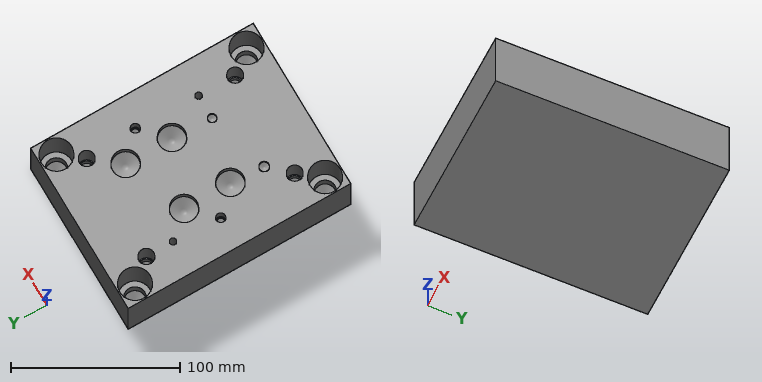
import cadquery as cq
import math

LENGTH_X = 114.3
LENGTH_Y = 152.4
HEIGHT = 44.45
TOP_Z = HEIGHT / 2

DRILL_POINT_ANGLE = 120.0

MOUNT_X = 46.02
MOUNT_Y = 65.07
MOUNT_BORE_DIAMETER = 20.62
MOUNT_BORE_DEPTH = 30.0
MOUNT_TAIL_DIAMETER = 13.49
MOUNT_TAIL_DEPTH = 38.0

BOLT_X = 34.93
BOLT_Y = 50.8
BOLT_THREAD_DIAMETER = 10.01
BOLT_THREAD_DEPTH = 20.0
BOLT_DRILL_DIAMETER = 8.51
BOLT_DRILL_DEPTH = 25.0

PORT_COLUMN_X = 20.64
PORT_PITCH = 31.75
PORT_RIGHT_Y = 0.79
PORT_LEFT_Y = PORT_RIGHT_Y - PORT_PITCH / 2
PORT_DIAMETER = 17.48
PORT_DEPTH = 5.08

SCREW_X = 36.51
SCREW_THREAD_DIAMETER = 5.99
SCREW_THREAD_DEPTH = 8.0
SCREW_DRILL_DIAMETER = 5.0
SCREW_DRILL_DEPTH = 10.0

PILOT_X = 34.93
PILOT_LEFT_Y = PORT_RIGHT_Y + PORT_PITCH
PILOT_RIGHT_Y = -25.8
PILOT_DIAMETER = 4.37
PILOT_DEPTH = 15.0

DRAIN_RIGHT = (19.05, PILOT_RIGHT_Y)
DRAIN_RIGHT_DIAMETER = 5.54
DRAIN_LEFT = (-22.23, -37.3)
DRAIN_LEFT_DIAMETER = 6.35
DRAIN_DEPTH = 1.8


def drilled_hole(center, diameter, depth):
    """Cutter for a blind hole from the top face: full diameter to depth, then a drill point."""
    x, y = center
    radius = diameter / 2
    point_length = radius / math.tan(math.radians(DRILL_POINT_ANGLE / 2))
    profile = (
        cq.Workplane("XZ")
        .moveTo(0, 0)
        .lineTo(radius, 0)
        .lineTo(radius, -depth)
        .lineTo(0, -depth - point_length)
        .close()
    )
    return profile.revolve(360, (0, 0, 0), (0, 1, 0)).translate((x, y, TOP_Z))


def flat_hole(center, diameter, depth):
    """Cutter for a flat-bottomed hole from the top face."""
    x, y = center
    return cq.Workplane("XY").circle(diameter / 2).extrude(-depth).translate((x, y, TOP_Z))


def stepped_hole(center, bore_diameter, bore_depth, tail_diameter, tail_depth):
    """Cutter for a flat-bottomed bore continued by a narrower drilled tail."""
    bore = flat_hole(center, bore_diameter, bore_depth)
    return bore.union(drilled_hole(center, tail_diameter, tail_depth))


def rectangle_corners(x, y):
    """The four points of a rectangle centred on the origin."""
    return [(sx * x, sy * y) for sx in (-1, 1) for sy in (-1, 1)]


result = cq.Workplane("XY").box(LENGTH_X, LENGTH_Y, HEIGHT)

for corner in rectangle_corners(MOUNT_X, MOUNT_Y):
    result = result.cut(
        stepped_hole(corner, MOUNT_BORE_DIAMETER, MOUNT_BORE_DEPTH, MOUNT_TAIL_DIAMETER, MOUNT_TAIL_DEPTH)
    )

for corner in rectangle_corners(BOLT_X, BOLT_Y):
    result = result.cut(
        stepped_hole(corner, BOLT_THREAD_DIAMETER, BOLT_THREAD_DEPTH, BOLT_DRILL_DIAMETER, BOLT_DRILL_DEPTH)
    )

for column_x, lower_y in ((-PORT_COLUMN_X, PORT_LEFT_Y), (PORT_COLUMN_X, PORT_RIGHT_Y)):
    for port_y in (lower_y, lower_y + PORT_PITCH):
        result = result.cut(drilled_hole((column_x, port_y), PORT_DIAMETER, PORT_DEPTH))

for screw in ((-SCREW_X, PORT_RIGHT_Y), (SCREW_X, PORT_LEFT_Y + PORT_PITCH)):
    result = result.cut(
        stepped_hole(screw, SCREW_THREAD_DIAMETER, SCREW_THREAD_DEPTH, SCREW_DRILL_DIAMETER, SCREW_DRILL_DEPTH)
    )

for pilot in ((-PILOT_X, PILOT_LEFT_Y), (PILOT_X, PILOT_RIGHT_Y)):
    result = result.cut(drilled_hole(pilot, PILOT_DIAMETER, PILOT_DEPTH))

result = result.cut(drilled_hole(DRAIN_RIGHT, DRAIN_RIGHT_DIAMETER, DRAIN_DEPTH))
result = result.cut(drilled_hole(DRAIN_LEFT, DRAIN_LEFT_DIAMETER, DRAIN_DEPTH))